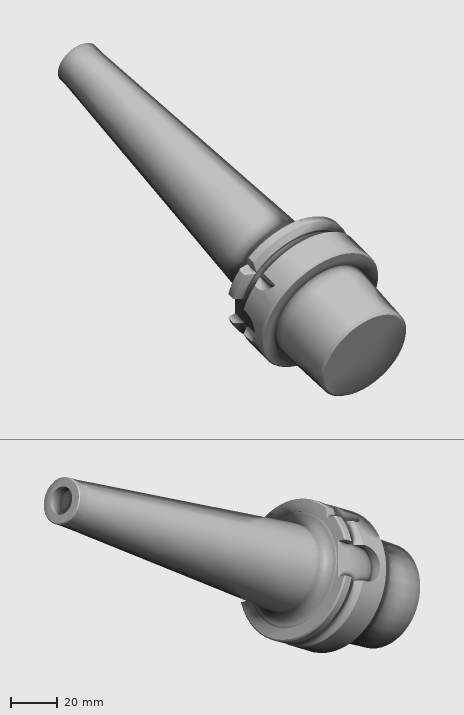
import cadquery as cq

LENGTH = 208.0
SHANK_LENGTH = 32.0
FLANGE_WIDTH = 26.0
FLANGE_REAR = LENGTH - SHANK_LENGTH
FLANGE_FRONT = FLANGE_REAR - FLANGE_WIDTH

NOSE_RADIUS = 21.0 / 2
NOSE_LENGTH = 5.0
NOSE_CHAMFER = 0.5
BORE_DIAMETER = 12.5
BORE_DEPTH = 6.0
NECK_RADIUS = 39.3 / 2
NECK_FILLET = 5.2
NECK_END = FLANGE_FRONT - NECK_FILLET

FLANGE_RADIUS = 63.0 / 2
FLANGE_CHAMFER = 0.6
RECESS_RADIUS = 25.8
RECESS_DEPTH = 0.2
GROOVE_CENTER = FLANGE_REAR - 18.0
GROOVE_FLOOR_RADIUS = 27.5
GROOVE_WALL_HEIGHT = 1.0
GROOVE_FLOOR_HALF_WIDTH = 1.5
GROOVE_MOUTH_HALF_WIDTH = 3.7

SHANK_FRONT_RADIUS = 48.7 / 2
SHANK_REAR_RADIUS = 46.2 / 2
SHANK_CHAMFER = 1.0

SLOT_FLOOR = 26.5
SLOT_END = FLANGE_REAR - 4.5
SLOT_CORNER_RADIUS = 8.0
BACK_SLOT_WIDTH = 18.0

NOTCH_OFFSET = 19.8
NOTCH_RADIUS = 7.5
NOTCH_END = 170.5


def turned_body():
    """Revolve the outer profile about the X axis."""
    recess_face = FLANGE_FRONT + RECESS_DEPTH
    rim_radius = FLANGE_RADIUS - FLANGE_CHAMFER
    groove_wall_top = GROOVE_FLOOR_RADIUS + GROOVE_WALL_HEIGHT
    arc_drop = NECK_FILLET * 0.5**0.5
    profile = (
        cq.Workplane("XY")
        .lineTo(0, NOSE_RADIUS - NOSE_CHAMFER)
        .lineTo(NOSE_CHAMFER, NOSE_RADIUS)
        .lineTo(NOSE_LENGTH, NOSE_RADIUS)
        .lineTo(NECK_END, NECK_RADIUS)
        .threePointArc(
            (NECK_END + arc_drop, NECK_RADIUS + NECK_FILLET - arc_drop),
            (FLANGE_FRONT, NECK_RADIUS + NECK_FILLET),
        )
        .lineTo(recess_face, RECESS_RADIUS - RECESS_DEPTH)
        .lineTo(recess_face, RECESS_RADIUS)
        .lineTo(FLANGE_FRONT, RECESS_RADIUS)
        .lineTo(FLANGE_FRONT, rim_radius)
        .lineTo(FLANGE_FRONT + FLANGE_CHAMFER, FLANGE_RADIUS)
        .lineTo(GROOVE_CENTER - GROOVE_MOUTH_HALF_WIDTH, FLANGE_RADIUS)
        .lineTo(GROOVE_CENTER - GROOVE_FLOOR_HALF_WIDTH, groove_wall_top)
        .lineTo(GROOVE_CENTER - GROOVE_FLOOR_HALF_WIDTH, GROOVE_FLOOR_RADIUS)
        .lineTo(GROOVE_CENTER + GROOVE_FLOOR_HALF_WIDTH, GROOVE_FLOOR_RADIUS)
        .lineTo(GROOVE_CENTER + GROOVE_FLOOR_HALF_WIDTH, groove_wall_top)
        .lineTo(GROOVE_CENTER + GROOVE_MOUTH_HALF_WIDTH, FLANGE_RADIUS)
        .lineTo(FLANGE_REAR - FLANGE_CHAMFER, FLANGE_RADIUS)
        .lineTo(FLANGE_REAR, rim_radius)
        .lineTo(FLANGE_REAR, SHANK_FRONT_RADIUS)
        .lineTo(LENGTH - SHANK_CHAMFER, SHANK_REAR_RADIUS)
        .lineTo(LENGTH, SHANK_REAR_RADIUS - SHANK_CHAMFER)
        .lineTo(LENGTH, 0)
        .close()
    )
    return profile.revolve(360, (0, 0, 0), (1, 0, 0))


def nose_bore():
    """Blind tool bore in the nose."""
    return cq.Workplane("YZ").circle(BORE_DIAMETER / 2).extrude(BORE_DEPTH)


def side_pocket(length, width, depth, corner_radius, corners):
    """Pocket tool starting at the origin: length along X, depth along Y, width along Z."""
    pocket = cq.Workplane("XY").box(length, depth, width, centered=False)
    return pocket.edges(corners).fillet(corner_radius)


def front_slot():
    """Flat-bottomed slot on -Y, open to the flange front, with a full round rear end."""
    depth = FLANGE_RADIUS - SLOT_FLOOR
    end_center = SLOT_END - SLOT_CORNER_RADIUS
    return (
        cq.Workplane("XZ", origin=(0, -SLOT_FLOOR, 0))
        .moveTo(FLANGE_FRONT, -SLOT_CORNER_RADIUS)
        .lineTo(end_center, -SLOT_CORNER_RADIUS)
        .threePointArc((SLOT_END, 0), (end_center, SLOT_CORNER_RADIUS))
        .lineTo(FLANGE_FRONT, SLOT_CORNER_RADIUS)
        .close()
        .extrude(depth)
    )


def back_slot():
    """Wider flat-bottomed slot on +Y with two rounded rear corners."""
    depth = FLANGE_RADIUS - SLOT_FLOOR
    slot = side_pocket(SLOT_END - FLANGE_FRONT, BACK_SLOT_WIDTH, depth, SLOT_CORNER_RADIUS, "|Y and >X")
    return slot.translate((FLANGE_FRONT, SLOT_FLOOR, -BACK_SLOT_WIDTH / 2))


def orientation_notch():
    """Corner notch across the flange rim whose floor curves up at the rear."""
    size = FLANGE_RADIUS - NOTCH_OFFSET
    notch = side_pocket(NOTCH_END - FLANGE_FRONT, size, size, NOTCH_RADIUS, "|Y and >X and <Z")
    return notch.translate((FLANGE_FRONT, -FLANGE_RADIUS, NOTCH_OFFSET))


result = (
    turned_body()
    .cut(nose_bore())
    .cut(front_slot())
    .cut(back_slot())
    .cut(orientation_notch())
)